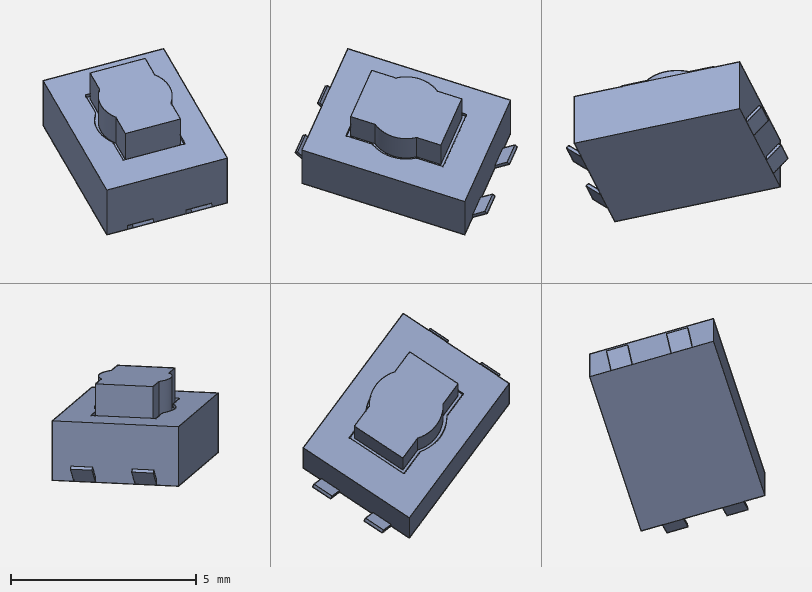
import cadquery as cq
import math

overall_length = 5.55
overall_height = 2.5

housing_length = 4.705
housing_width = 3.5
housing_height = 1.645
groove_depth = 0.1

button_length = 2.605
button_width = 1.6
bulge_radius = 1.0
button_gap = 0.1

lead_width = 0.6
lead_thickness = 0.1
lead_pitch = 1.7

groove_floor = housing_height - groove_depth


def button_outline(offset, base_height):
    """Outline of the button, grown outward by offset, on a plane at base_height."""
    half_length = button_length / 2 + offset
    half_width = button_width / 2 + offset
    radius = bulge_radius + offset
    bulge_half = math.sqrt(radius**2 - half_width**2)
    return (
        cq.Workplane("XY", origin=(0, 0, base_height))
        .moveTo(-half_length, -half_width)
        .lineTo(-bulge_half, -half_width)
        .threePointArc((0, -radius), (bulge_half, -half_width))
        .lineTo(half_length, -half_width)
        .lineTo(half_length, half_width)
        .lineTo(bulge_half, half_width)
        .threePointArc((0, radius), (-bulge_half, half_width))
        .lineTo(-half_length, half_width)
        .close()
    )


def make_switch_body():
    """Rectangular housing and its button in one piece, with a groove around the button."""
    housing = cq.Workplane("XY").box(
        housing_length, housing_width, housing_height, centered=(True, True, False)
    )
    recess = button_outline(button_gap, groove_floor).extrude(groove_depth)
    button = button_outline(0, groove_floor).extrude(overall_height - groove_floor)
    return housing.cut(recess).union(button)


def make_lead(side, center_y):
    """Lead on the left (side = -1) or right (side = 1) end of the housing."""
    root_x = housing_length / 2
    tip_x = overall_length / 2
    reach = tip_x - root_x
    root_height = lead_thickness * math.sqrt(2)
    tip_step = lead_thickness / math.sqrt(2)
    profile = [
        (side * root_x, 0),
        (side * tip_x, reach),
        (side * (tip_x - tip_step), reach + tip_step),
        (side * root_x, root_height),
    ]
    return (
        cq.Workplane("XZ", origin=(0, center_y, 0))
        .polyline(profile)
        .close()
        .extrude(lead_width / 2, both=True)
    )


switch_body = make_switch_body()
leads = [
    make_lead(side, center_y)
    for side in (-1, 1)
    for center_y in (-lead_pitch / 2, lead_pitch / 2)
]

result = cq.Compound.makeCompound(
    [switch_body.val(), *[lead.val() for lead in leads]]
)